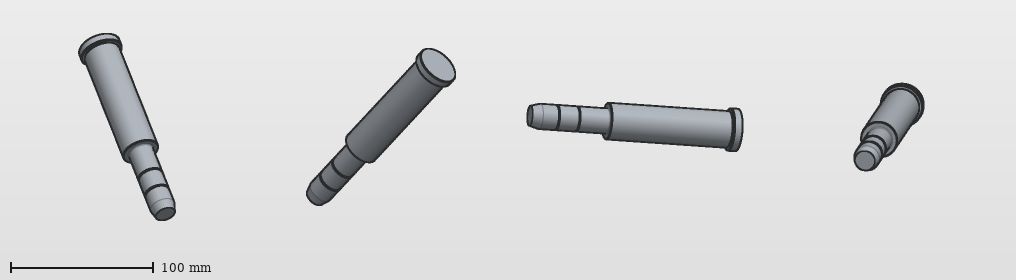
import cadquery as cq

LENGTH = 151.0

HEAD_DIAMETER = 30.0
HEAD_LENGTH = 6.0
HEAD_CHAMFER = 0.5

SHANK_DIAMETER = 26.0
SHANK_END = 95.0
SHANK_CHAMFER = 0.5

RELIEF_DEPTH = 0.6
RELIEF_LENGTH = 1.0

PIN_DIAMETER = 18.0
PIN_ROOT_FILLET = 0.5

GROOVE_STARTS = (116.5, 131.5)
GROOVE_WIDTH = 0.9
GROOVE_DEPTH = 0.5

TIP_DIAMETER = 14.2
TIP_TAPER_LENGTH = 7.0


def cylinder(start, end, diameter):
    """Solid cylinder on the X axis between two X positions."""
    return cq.Workplane("YZ", origin=(start, 0, 0)).circle(diameter / 2).extrude(end - start)


def ring(start, width, outer_diameter, inner_diameter):
    """Square-sided ring on the X axis, used to cut a groove."""
    return cylinder(start, start + width, outer_diameter).cut(cylinder(start, start + width, inner_diameter))


def make_head():
    """Head disc with both rims chamfered."""
    return cylinder(0, HEAD_LENGTH, HEAD_DIAMETER).edges("%CIRCLE").chamfer(HEAD_CHAMFER)


def make_shank():
    """Shank with a conical relief behind the head and a chamfered far end."""
    radius = SHANK_DIAMETER / 2
    return (
        cq.Workplane("XY")
        .moveTo(HEAD_LENGTH, 0)
        .lineTo(HEAD_LENGTH, radius - RELIEF_DEPTH)
        .lineTo(HEAD_LENGTH + RELIEF_LENGTH, radius)
        .lineTo(SHANK_END - SHANK_CHAMFER, radius)
        .lineTo(SHANK_END, radius - SHANK_CHAMFER)
        .lineTo(SHANK_END, 0)
        .close()
        .revolve(360, (0, 0, 0), (1, 0, 0))
    )


def make_pin():
    """Pin with a concave fillet at its root and a tapered lead-in tip."""
    radius = PIN_DIAMETER / 2
    pin = (
        cq.Workplane("XY")
        .moveTo(SHANK_END, 0)
        .lineTo(SHANK_END, radius + PIN_ROOT_FILLET)
        .radiusArc((SHANK_END + PIN_ROOT_FILLET, radius), -PIN_ROOT_FILLET)
        .lineTo(LENGTH - TIP_TAPER_LENGTH, radius)
        .lineTo(LENGTH, TIP_DIAMETER / 2)
        .lineTo(LENGTH, 0)
        .close()
        .revolve(360, (0, 0, 0), (1, 0, 0))
    )
    for start in GROOVE_STARTS:
        pin = pin.cut(ring(start, GROOVE_WIDTH, HEAD_DIAMETER, PIN_DIAMETER - 2 * GROOVE_DEPTH))
    return pin


result = make_head().union(make_shank()).union(make_pin())